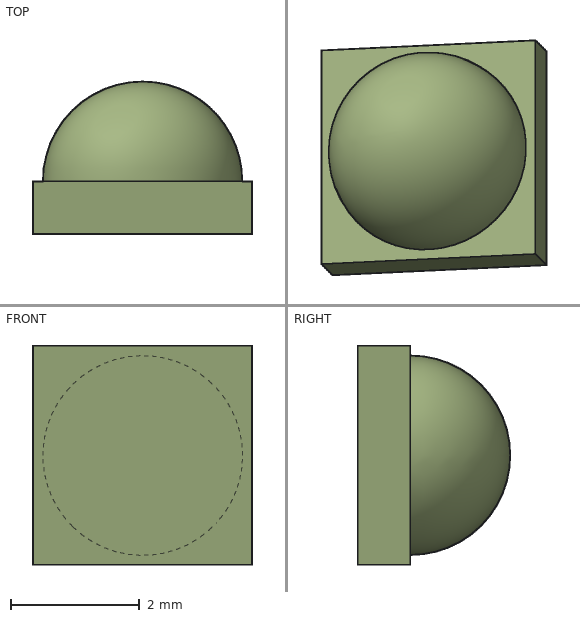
import cadquery as cq

plate_side = 3.4
plate_thickness = 0.82
dome_radius = 1.55

plate = cq.Workplane("XY").box(
    plate_side, plate_thickness, plate_side
).translate((0, -plate_thickness / 2, 0))


def make_dome():
    """Revolve a quarter disc about the Y axis into a hemisphere."""
    return (
        cq.Workplane("XY")
        .moveTo(0, 0)
        .lineTo(dome_radius, 0)
        .radiusArc((0, dome_radius), -dome_radius)
        .close()
        .revolve(360, (0, 0), (0, 1))
    )


result = plate.union(make_dome())